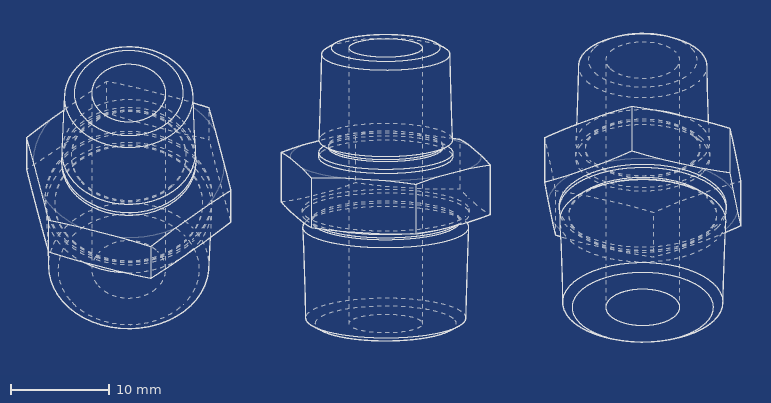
import cadquery as cq
import math

total_height = 29.0
hex_bottom = 11.92
hex_top = 17.55

across_flats = 19.0
hex_chamfer_radius = 9.75
hex_chamfer_drop = 0.2

bore_diameter = 7.5


def threaded_end(end_z, direction, end_radius, start_radius, root_radius, neck_radius, collar_radius,
                 end_chamfer, thread_length, groove_width, groove_flat):
    """Tapered end with a chamfered tip and a V-like groove between thread and collar.

    end_radius: tip face, start_radius: taper beside the tip chamfer,
    root_radius: taper beside the groove, neck_radius: groove floor,
    direction: +1 or -1, pointing along Z from the tip to the hexagon.
    """
    groove_start = thread_length
    groove_end = groove_start + groove_width
    flat_start = groove_start + (groove_width - groove_flat) / 2
    steps = [
        (0, 0),
        (end_radius, 0),
        (start_radius, end_chamfer),
        (root_radius, groove_start),
        (neck_radius, flat_start),
        (neck_radius, flat_start + groove_flat),
        (collar_radius, groove_end),
    ]
    outline = [(radius, end_z + direction * distance) for radius, distance in steps]
    hex_middle = (hex_bottom + hex_top) / 2
    outline += [(collar_radius, hex_middle), (0, hex_middle)]
    return cq.Workplane("XZ").polyline(outline).close().revolve(360, (0, 0), (0, 1))


def chamfered_hexagon():
    """Hexagon with corners on the X axis, turned conically at both faces."""
    across_corners = across_flats / math.cos(math.pi / 6)
    corner_radius = across_corners / 2
    prism = (
        cq.Workplane("XY", origin=(0, 0, hex_bottom))
        .polygon(6, across_corners)
        .extrude(hex_top - hex_bottom)
    )
    envelope = (
        cq.Workplane("XZ")
        .polyline([
            (0, hex_bottom),
            (hex_chamfer_radius, hex_bottom),
            (corner_radius, hex_bottom + hex_chamfer_drop),
            (corner_radius, hex_top - hex_chamfer_drop),
            (hex_chamfer_radius, hex_top),
            (0, hex_top),
        ])
        .close()
        .revolve(360, (0, 0), (0, 1))
    )
    return prism.intersect(envelope)


lower_end = threaded_end(
    end_z=0, direction=1,
    end_radius=7.2, start_radius=8.18, root_radius=8.47, neck_radius=7.55, collar_radius=8.53,
    end_chamfer=0.58, thread_length=10.15, groove_width=1.4, groove_flat=0.2,
)
upper_end = threaded_end(
    end_z=total_height, direction=-1,
    end_radius=5.55, start_radius=6.55, root_radius=6.82, neck_radius=5.85, collar_radius=6.85,
    end_chamfer=0.67, thread_length=9.7, groove_width=1.33, groove_flat=0.2,
)
bore = cq.Workplane("XY").circle(bore_diameter / 2).extrude(total_height)

result = chamfered_hexagon().union(lower_end).union(upper_end).cut(bore)